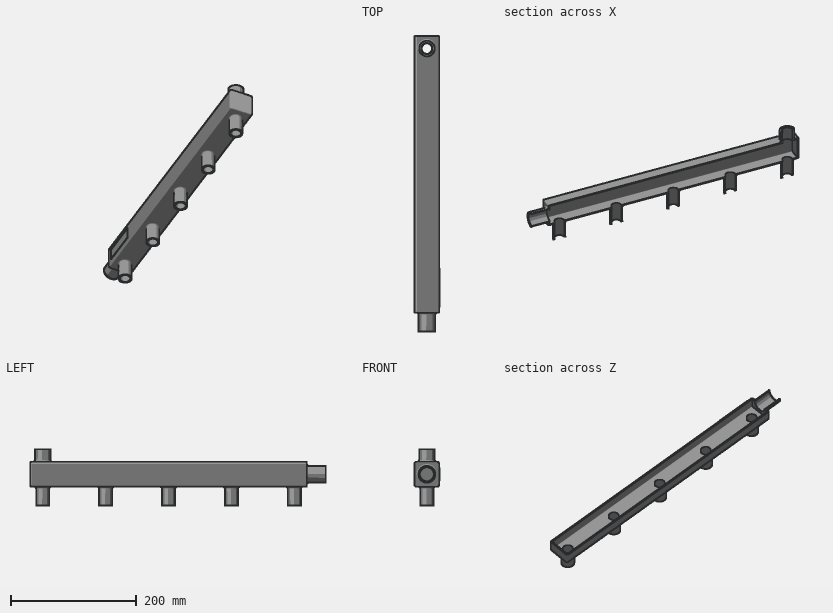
import cadquery as cq

total_length = 470.0
total_height = 90.0
body_width = 40.0
front_pipe_length = 30.0
top_pipe_length = body_width / 2
bottom_pipe_length = total_height - body_width - top_pipe_length
body_length = total_length - front_pipe_length

wall = 3.0
tube_corner_radius = body_width / 10
cap_edge_radius = 2.0

front_pipe_outer = 27.0
front_pipe_bore = 22.0
top_pipe_outer = 25.0
top_pipe_bore = 17.0
bottom_pipe_outer = 21.0
bottom_pipe_bore = 16.5

front_mouth_bevel = 1.0
top_mouth_bevel = 0.5

weld_radius = 3.0

bottom_pipe_count = 5
pipe_end_offset = body_width / 2
pipe_pitch = (body_length - 2 * pipe_end_offset) / (bottom_pipe_count - 1)

plate_length = 60.0
plate_height = 19.7
plate_thickness = 0.5
plate_front_offset = 10.0

half_width = body_width / 2
body_back = total_length / 2
body_front = body_back - body_length
rear_pipe_y = body_back - pipe_end_offset


def square_bar(width, length, corner_radius):
    """Square bar along Y, centred on the tube, with rounded long edges."""
    center_y = (body_front + body_back) / 2
    bar = cq.Workplane("XY").box(width, length, width).translate((0, center_y, 0))
    return bar.edges("|Y").fillet(corner_radius)


def place(upright, root, direction):
    """Move a solid built along +Z so that it starts at root and points along direction."""
    plane = cq.Plane(origin=root, xDir=(1, 0, 0), normal=direction)
    return cq.Workplane(upright.val().moved(cq.Location(plane)))


def pipe_blank(outer, length):
    """Solid upright pipe with a weld seam at its root, sunk slightly below z = 0."""
    radius = outer / 2
    seam_radius = radius + weld_radius
    sink = wall / 2
    profile = (
        cq.Workplane("XZ")
        .moveTo(0, -sink)
        .lineTo(seam_radius, -sink)
        .lineTo(seam_radius, 0)
        .radiusArc((radius, weld_radius), weld_radius)
        .lineTo(radius, length)
        .lineTo(0, length)
        .close()
    )
    return profile.revolve(360, (0, 0, 0), (0, 1, 0))


def pipe_bore(bore, length, bevel):
    """Upright bore from below the tube wall to the pipe mouth, widened by a 45 degree bevel."""
    radius = bore / 2
    profile = (
        cq.Workplane("XZ")
        .moveTo(0, -2 * wall)
        .lineTo(radius, -2 * wall)
        .lineTo(radius, length - bevel)
    )
    if bevel > 0:
        profile = profile.lineTo(radius + bevel, length)
    return profile.lineTo(0, length).close().revolve(360, (0, 0, 0), (0, 1, 0))


body = square_bar(body_width, body_length, tube_corner_radius)
body = body.faces("<Y or >Y").edges().fillet(cap_edge_radius)

plate_center_x = half_width + plate_thickness - wall / 2
plate_center_y = body_front + plate_front_offset + plate_length / 2
plate = cq.Workplane("XY").box(wall, plate_length, plate_height)
body = body.union(plate.translate((plate_center_x, plate_center_y, 0)))

front_root = (0, body_front, 0)
top_root = (0, rear_pipe_y, half_width)
pipes = [
    (front_root, (0, -1, 0), front_pipe_outer, front_pipe_bore, front_pipe_length, front_mouth_bevel),
    (top_root, (0, 0, 1), top_pipe_outer, top_pipe_bore, top_pipe_length, top_mouth_bevel),
]
for i in range(bottom_pipe_count):
    bottom_root = (0, rear_pipe_y - i * pipe_pitch, -half_width)
    pipes.append((bottom_root, (0, 0, -1), bottom_pipe_outer, bottom_pipe_bore, bottom_pipe_length, 0))

for root, direction, outer, bore, length, bevel in pipes:
    body = body.union(place(pipe_blank(outer, length), root, direction))

chamber = square_bar(body_width - 2 * wall, body_length - 2 * wall, tube_corner_radius - wall)
body = body.cut(chamber)

for root, direction, outer, bore, length, bevel in pipes:
    body = body.cut(place(pipe_bore(bore, length, bevel), root, direction))

result = body